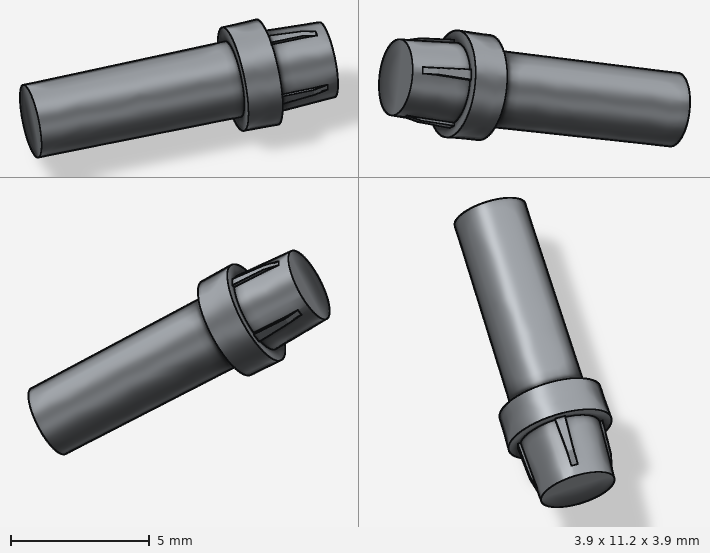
import cadquery as cq

total_length = 11.18
head_length = 2.26
collar_length = 1.29
shaft_length = total_length - head_length - collar_length

head_end_radius = 1.39
head_base_radius = 1.5
collar_rear_radius = 1.95
collar_front_radius = 1.91
shaft_base_radius = 1.4
shaft_tip_radius = 1.34

rib_count = 4
rib_start_gap = 0.4
rib_ramp_length = 0.55
rib_ramp_radius = 1.53
rib_base_radius = 1.6
rib_tip_width = 0.25
rib_base_width = 0.38
rib_inner_radius = 1.12


def make_body():
    """Revolve the tapered head, collar and shaft about the Y axis."""
    collar_front_y = -collar_length
    tip_y = collar_front_y - shaft_length
    profile = [
        (0, head_length),
        (head_end_radius, head_length),
        (head_base_radius, 0),
        (collar_rear_radius, 0),
        (collar_front_radius, collar_front_y),
        (shaft_base_radius, collar_front_y),
        (shaft_tip_radius, tip_y),
        (0, tip_y),
    ]
    return cq.Workplane("XY").polyline(profile).close().revolve(360, (0, 0), (0, 1))


def make_rib():
    """Intersect the side profile and the plan outline of the rib on the +Z side."""
    start_y = head_length - rib_start_gap
    ramp_end_y = start_y - rib_ramp_length
    head_taper = (head_base_radius - head_end_radius) / head_length
    start_radius = head_end_radius + head_taper * rib_start_gap
    side_profile = [
        (0, rib_inner_radius),
        (start_y, rib_inner_radius),
        (start_y, start_radius),
        (ramp_end_y, rib_ramp_radius),
        (0, rib_base_radius),
    ]
    half_tip = rib_tip_width / 2
    half_base = rib_base_width / 2
    plan_outline = [
        (-half_base, 0),
        (-half_tip, ramp_end_y),
        (-half_tip, start_y),
        (half_tip, start_y),
        (half_tip, ramp_end_y),
        (half_base, 0),
    ]
    side = cq.Workplane("YZ").polyline(side_profile).close().extrude(half_base, both=True)
    plan = cq.Workplane("XY").polyline(plan_outline).close().extrude(rib_base_radius)
    return side.intersect(plan)


result = make_body()
rib = make_rib()
for index in range(rib_count):
    angle = index * 360 / rib_count
    result = result.union(rib.rotate((0, 0, 0), (0, 1, 0), angle))